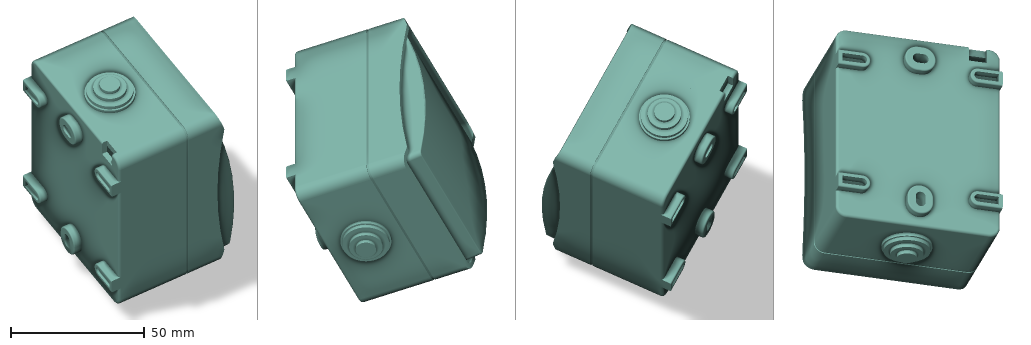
import cadquery as cq


BOX_WIDTH = 64.0
BOX_HEIGHT = 79.4
CORNER_RADIUS = 4.2

BASE_DEPTH = 29.6
BASE_WALL = 2.8
BASE_BACK = 2.2
REAR_FILLET = 1.0

STANDOFF = 3.4
RIM_FILLET = 0.55
FOOT_LENGTH = 12.5
FOOT_HEIGHT = 6.1
FOOT_RIM = 1.5
FOOT_Z = 26.1
BOSS_LENGTH = 11.9
BOSS_WIDTH = 10.0
BOSS_SLOT_LENGTH = 6.1
BOSS_SLOT_WIDTH = 3.8
BOSS_Z = 29.9

NOTCH_WIDTH = 7.1
NOTCH_HEIGHT = 6.0
NOTCH_X = 23.3

PLATE_WIDTH = 31.5
PLATE_CORNER_RADIUS = 2.0
ENTRY_Y = 15.4
ENTRY_REACH = 45.5
ENTRY_RADII = [9.6, 8.8, 6.3, 3.8]
ENTRY_STEP_ENDS = [41.0, 42.5, 44.0, ENTRY_REACH]

SEAM_WIDTH = 0.9
SEAM_INSET = 0.4
COVER_END_Y = 44.0
COVER_PEAK_Y = 46.2
COVER_PEAK_Z = 33.0
COVER_DIP_Y = 43.1
COVER_PEAK_FILLET = 2.7
COVER_RIM = 2.0
POCKET_FLOOR_Y = 40.95

ROCKER_WIDTH = 58.3
ROCKER_TOP_Z = 36.2
ROCKER_FLOOR_BOTTOM_Z = -36.6
ROCKER_TIP_Z = -35.4
CROWN_Y = 52.4
CROWN_Z = -12.5
CROWN_RADIUS = 124.7
ROCKER_END_RADIUS = 1.8
CROWN_FILLET = 0.5


def plane_at(y):
    """Workplane facing the wall at depth y: local x is X and local y is Z."""
    return cq.Workplane("XZ", origin=(0, y, 0))


def rounded_block(width, height, radius, y_start, y_end):
    block = plane_at(y_start).rect(width, height).extrude(y_start - y_end)
    return block.edges("|Y").fillet(radius)


def make_foot(side, z):
    """Foot flush with a side wall, round at its inner end, with a blind pocket of the same shape."""
    round_radius = FOOT_HEIGHT / 2
    outer_x = BOX_WIDTH / 2
    straight = FOOT_LENGTH - round_radius

    def tongue(rim, y_start, y_end):
        x_outer = outer_x - rim
        x_inner = outer_x - straight
        half = round_radius - rim
        return (
            plane_at(y_start)
            .moveTo(side * x_outer, z - half)
            .lineTo(side * x_inner, z - half)
            .threePointArc((side * (x_inner - half), z), (side * x_inner, z + half))
            .lineTo(side * x_outer, z + half)
            .close()
            .extrude(y_start - y_end)
        )

    foot = tongue(0, -STANDOFF, REAR_FILLET)
    flush_edge = ">X" if side > 0 else "<X"
    foot = foot.faces("<Y").edges(f"not {flush_edge}").fillet(RIM_FILLET)
    return foot.cut(tongue(FOOT_RIM, -STANDOFF, 0))


def make_boss(z, angle):
    boss = plane_at(-STANDOFF).center(0, z).slot2D(BOSS_LENGTH, BOSS_WIDTH, angle).extrude(-STANDOFF)
    return boss.faces("<Y").edges().fillet(RIM_FILLET)


def make_boss_slot(z, angle):
    depth = STANDOFF + BASE_BACK
    return plane_at(-STANDOFF).center(0, z).slot2D(BOSS_SLOT_LENGTH, BOSS_SLOT_WIDTH, angle).extrude(-depth)


def make_plate(end):
    """Flush plate in the upper (end = 1) or lower (end = -1) wall, reaching up to the seam."""
    z_centre = end * (BOX_HEIGHT - BASE_WALL) / 2
    plate_depth = BASE_DEPTH - BASE_BACK
    plate = cq.Workplane("XY").box(PLATE_WIDTH, plate_depth, BASE_WALL)
    plate = plate.edges("|Z and <Y").fillet(PLATE_CORNER_RADIUS)
    return plate.translate((0, BASE_BACK + plate_depth / 2, z_centre))


def make_base():
    base = rounded_block(BOX_WIDTH, BOX_HEIGHT, CORNER_RADIUS, 0, BASE_DEPTH)
    base = base.faces("<Y").edges().fillet(REAR_FILLET)
    cavity = rounded_block(
        BOX_WIDTH - 2 * BASE_WALL, BOX_HEIGHT - 2 * BASE_WALL,
        CORNER_RADIUS - BASE_WALL, BASE_BACK, BASE_DEPTH,
    )
    base = base.cut(cavity)

    for side in (-1, 1):
        for z in (-FOOT_Z, FOOT_Z):
            base = base.union(make_foot(side, z))

    for z, angle in ((BOSS_Z, 0), (-BOSS_Z, 90)):
        base = base.union(make_boss(z, angle)).cut(make_boss_slot(z, angle))

    notch = cq.Workplane("XY").box(NOTCH_WIDTH, BASE_BACK, NOTCH_HEIGHT)
    base = base.cut(notch.translate((NOTCH_X, BASE_BACK / 2, (BOX_HEIGHT - NOTCH_HEIGHT) / 2)))

    for end in (-1, 1):
        base = base.cut(make_plate(end))
    return base


def make_cable_entry(end):
    """Wall plate and the stepped membrane that stands on it."""
    entry = make_plate(end)
    step_start = BOX_HEIGHT / 2
    for radius, step_end in zip(ENTRY_RADII, ENTRY_STEP_ENDS):
        step = (
            cq.Workplane("XY", origin=(0, ENTRY_Y, end * step_start))
            .circle(radius)
            .extrude(end * (step_end - step_start))
        )
        entry = entry.union(step)
        step_start = step_end
    return entry


def make_cover():
    lip_end_y = BASE_DEPTH + SEAM_WIDTH
    cover = rounded_block(BOX_WIDTH, BOX_HEIGHT, CORNER_RADIUS, lip_end_y, COVER_PEAK_Y)

    half_height = BOX_HEIGHT / 2
    profile = (
        cq.Workplane("YZ", origin=(-BOX_WIDTH / 2, 0, 0))
        .moveTo(lip_end_y, -half_height)
        .lineTo(COVER_END_Y, -half_height)
        .lineTo(COVER_PEAK_Y, -COVER_PEAK_Z)
        .threePointArc((COVER_DIP_Y, 0), (COVER_PEAK_Y, COVER_PEAK_Z))
        .lineTo(COVER_END_Y, half_height)
        .lineTo(lip_end_y, half_height)
        .close()
        .extrude(BOX_WIDTH)
    )
    profile = profile.edges("|X and >Y").fillet(COVER_PEAK_FILLET)
    cover = cover.intersect(profile)

    pocket = rounded_block(
        BOX_WIDTH - 2 * COVER_RIM, BOX_HEIGHT - 2 * COVER_RIM,
        CORNER_RADIUS - COVER_RIM, POCKET_FLOOR_Y, COVER_PEAK_Y,
    )
    cover = cover.cut(pocket)

    lip = rounded_block(
        BOX_WIDTH - 2 * SEAM_INSET, BOX_HEIGHT - 2 * SEAM_INSET,
        CORNER_RADIUS - SEAM_INSET, BASE_DEPTH, lip_end_y,
    )
    return cover.union(lip)


def crown_y(z):
    """Height of the rocker's crown arc at z."""
    return CROWN_Y - CROWN_RADIUS + (CROWN_RADIUS**2 - (z - CROWN_Z)**2) ** 0.5


def make_rocker():
    rocker = (
        cq.Workplane("YZ", origin=(-ROCKER_WIDTH / 2, 0, 0))
        .moveTo(POCKET_FLOOR_Y, ROCKER_FLOOR_BOTTOM_Z)
        .lineTo(crown_y(ROCKER_TIP_Z), ROCKER_TIP_Z)
        .threePointArc((CROWN_Y, CROWN_Z), (crown_y(ROCKER_TOP_Z), ROCKER_TOP_Z))
        .lineTo(POCKET_FLOOR_Y, ROCKER_TOP_Z)
        .close()
        .extrude(ROCKER_WIDTH)
    )
    lower_corners = rocker.faces("<Z").edges("not |X")
    rocker = lower_corners.fillet(ROCKER_END_RADIUS)
    return rocker.faces(">Y").edges("<X or >X").fillet(CROWN_FILLET)


base = make_base()
cover = make_cover()
rocker = make_rocker()
cable_entries = [make_cable_entry(end) for end in (-1, 1)]

result = cq.Compound.makeCompound(
    [base.val(), cover.val(), rocker.val(), *[entry.val() for entry in cable_entries]]
)